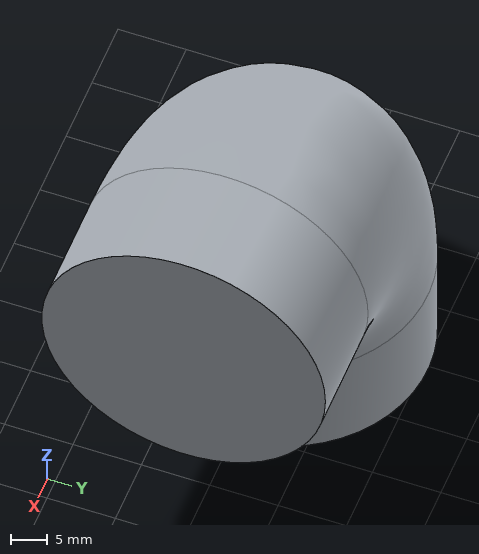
import cadquery as cq

overall_length = 60.25
pipe_diameter = 41.5
straight_length = 16.45

pipe_radius = pipe_diameter / 2
bend_radius = overall_length - straight_length - pipe_radius
bend_angle = 90.0


def vertical_collar():
    """Straight pipe rising along Z from the origin to the bend."""
    return cq.Workplane("XY").circle(pipe_radius).extrude(straight_length)


def bend():
    """Quarter bend turning the pipe from +Z to +X."""
    return (
        cq.Workplane("XY", origin=(0, 0, straight_length))
        .circle(pipe_radius)
        .revolve(bend_angle, (bend_radius, 0), (bend_radius, 1))
    )


def horizontal_collar():
    """Straight pipe leaving the bend along X."""
    bend_end = (bend_radius, 0, straight_length + bend_radius)
    return cq.Workplane("YZ", origin=bend_end).circle(pipe_radius).extrude(straight_length)


result = vertical_collar().union(bend()).union(horizontal_collar())